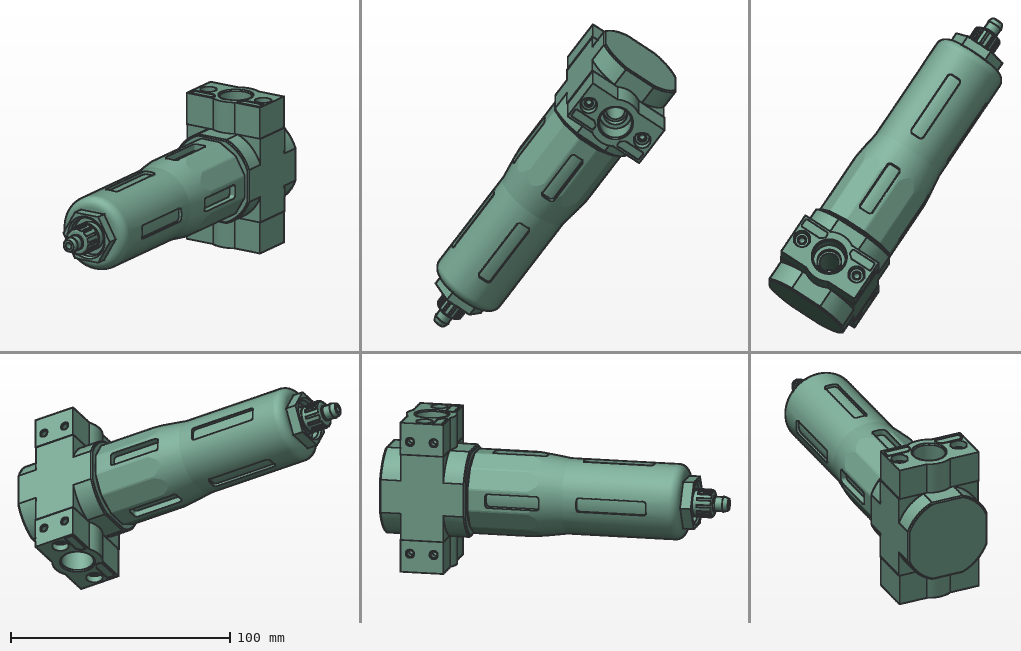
import cadquery as cq
import math


TOTAL_LENGTH = 159.0
TOTAL_HEIGHT = 70.0

HOUSING_SIZE = 40.0
HOUSING_HALF = HOUSING_SIZE / 2
HOUSING_BACK_Y = 19.9
HOUSING_FRONT_Y = -20.0
HOUSING_ROUND_RADIUS = 21.5
HOUSING_CHAMFER = 0.6
PASSAGE_DIAMETER = 8.7
SPIGOT_RADIUS = 17.2
GUARD_TOP_Y = -21.1

PLATE_HEIGHT = (TOTAL_HEIGHT - HOUSING_SIZE) / 2
PLATE_DEPTH = HOUSING_SIZE / 2
PLATE_SHIFT = -0.3
BOSS_RADIUS = 11.6
PORT_DIAMETER = 15.0
PORT_DEPTH = 11.1
PORT_CHAMFER = 0.6
PORT_STEP_DIAMETER = 11.0

LABEL_DEPTH = 0.3
LABEL_FRONT_Y = -8.9
LABEL_BACK_Y = -4.8
LABEL_OUTER_X = 19.0
LABEL_INNER_X = 6.7
LABEL_SLANT_X = 2.0
LABEL_SLANT_Y = 1.6
LABEL_CORNER_RADIUS = 0.6

PIN_HOLE_DIAMETER = 3.0
PIN_HOLE_DEPTH = 4.8
PIN_HOLE_CHAMFER = 0.5
PIN_HOLE_Y = 5.5
PIN_HOLE_Z = 26.2

SCREW_X = 15.0
SCREW_RECESS_DIAMETER = 7.6
SCREW_HEAD_DIAMETER = 6.5
SCREW_HEAD_HEIGHT = 4.0
SCREW_SINK = 2.9
SOCKET_DIAMETER = 3.0
SOCKET_CHAMFER = 0.5
SOCKET_DEPTH = 1.6
DRILL_POINT_RATIO = 0.6

GRIP_RADIUS = 38.8 / 2
GRIP_FLAT_COUNT = 12
GRIP_FLAT_APOTHEM = 37.7 / 2
GRIP_END_Y = -49.1
TAPER_END_Y = -64.7
TAPER_BULGE = 0.06
GUARD_RADIUS = 34.7 / 2
GUARD_FILLET = 4.3
GUARD_BOTTOM_Y = -119.2
GUARD_END_WALL = 3.2
WINDOW_WIDTH = 6.5
WINDOW_CORNER_RADIUS = 1.5
UPPER_WINDOW = (-54.4, -29.3)
LOWER_WINDOW = (-104.3, -71.5)

BOWL_RADIUS = 15.9
HEX_ACROSS_FLATS = 22.0
HEX_BOTTOM_Y = -124.2
HEX_RECESS_RADIUS = 9.0
HEX_RECESS_DEPTH = 4.0
HEX_RECESS_CHAMFER = 1.0

SHOULDER_RADIUS = 6.5
SHOULDER_BOTTOM_Y = -123.4
NECK_RADIUS = 11.8 / 2
KNOB_TOP_Y = -125.5
KNOB_BOTTOM_Y = -132.3
KNOB_RADIUS = 6.5
KNOB_FILLET = 1.7
TOOTH_COUNT = 12
TOOTH_WIDTH = 1.1
COLLAR_RADIUS = 7.2 / 2
COLLAR_BOTTOM_Y = -133.1
NOZZLE_RADIUS = 6.7 / 2
BARB_TOP_Y = -136.7
TIP_RADIUS = 2.7
TIP_CHAMFER = 0.6
TIP_Y = HOUSING_BACK_Y - TOTAL_LENGTH
NOZZLE_BORE_DIAMETER = 3.0
NOZZLE_BORE_DEPTH = 4.8


def y_rod(radius, y_start, y_end):
    """Round rod on the bowl axis."""
    return cq.Workplane("XZ", origin=(0, y_start, 0)).circle(radius).extrude(y_start - y_end)


def y_prism(side_count, apothem, y_start, y_end, turn):
    """Regular prism on the bowl axis, turned by the given angle in degrees."""
    corner_diameter = 2 * apothem / math.cos(math.pi / side_count)
    prism = cq.Workplane("XZ", origin=(0, y_start, 0)).polygon(side_count, corner_diameter)
    return prism.extrude(y_start - y_end).rotate((0, 0, 0), (0, 1, 0), turn)


def revolve_about_y(profile):
    """Solid of revolution from an XY outline that starts and ends on the bowl axis."""
    return profile.close().revolve(360, (0, 0, 0), (0, 1, 0))


def drill(plane, radius, depth):
    """Round hole with a pointed bottom, going inwards from the plane."""
    outline = [(0, 0), (radius, 0), (radius, -depth), (0, -depth - DRILL_POINT_RATIO * radius)]
    hole = cq.Workplane("XZ").polyline(outline).close().revolve(360, (0, 0, 0), (0, 1, 0))
    return cq.Workplane(hole.val().moved(cq.Location(plane)))


def chamfer_cone(plane, radius, size):
    """Cutter that bevels the mouth of a round hole at the plane."""
    cone = cq.Solid.makeCone(radius + size, radius, size, cq.Vector(0, 0, 0), cq.Vector(0, 0, -1))
    return cq.Workplane(cone.moved(cq.Location(plane)))


def make_housing():
    """Cross-shaped block, square in the middle and rounded at both ends, with a spigot."""
    length = HOUSING_BACK_Y - HOUSING_FRONT_Y
    front_face = cq.Workplane("XZ", origin=(0, HOUSING_FRONT_Y, 0))
    block = front_face.rect(HOUSING_SIZE, HOUSING_SIZE).extrude(-length)
    ends = block.intersect(y_rod(HOUSING_ROUND_RADIUS, HOUSING_BACK_Y, HOUSING_FRONT_Y))
    ends = ends.faces("<Y or >Y").chamfer(HOUSING_CHAMFER)
    middle = cq.Workplane("XY").box(HOUSING_SIZE, PLATE_DEPTH, HOUSING_SIZE)
    spigot = y_rod(SPIGOT_RADIUS, HOUSING_FRONT_Y, GUARD_TOP_Y)
    passage = cq.Workplane("XY").circle(PASSAGE_DIAMETER / 2).extrude(HOUSING_HALF, both=True)
    return ends.union(middle).union(spigot).cut(passage)


def label_recess(side):
    """Shallow label field beside the port, slanted next to the port rim."""
    inner = side * LABEL_INNER_X
    outer = side * LABEL_OUTER_X
    outline = [
        (outer, LABEL_FRONT_Y),
        (inner, LABEL_FRONT_Y),
        (inner, LABEL_BACK_Y - LABEL_SLANT_Y),
        (inner + side * LABEL_SLANT_X, LABEL_BACK_Y),
        (outer, LABEL_BACK_Y),
    ]
    field = cq.Workplane("XY", origin=(PLATE_SHIFT, 0, TOTAL_HEIGHT / 2)).polyline(outline).close()
    return field.extrude(-LABEL_DEPTH).edges("|Z").fillet(LABEL_CORNER_RADIUS)


def make_top_plate():
    """Connecting plate on top of the housing with port, screw recesses, labels and pin holes."""
    base = cq.Workplane("XY", origin=(0, 0, HOUSING_HALF))
    plate = base.center(PLATE_SHIFT, 0).rect(HOUSING_SIZE, PLATE_DEPTH).extrude(PLATE_HEIGHT)
    plate = plate.union(base.circle(BOSS_RADIUS).extrude(PLATE_HEIGHT))

    outer_face = cq.Workplane("XY", origin=(0, 0, TOTAL_HEIGHT / 2))
    plate = plate.cut(base.circle(PORT_STEP_DIAMETER / 2).extrude(PLATE_HEIGHT))
    port = outer_face.circle(PORT_DIAMETER / 2).extrude(-PORT_DEPTH)
    port_mouth = cq.Plane((0, 0, TOTAL_HEIGHT / 2))
    port_rim = chamfer_cone(port_mouth, PORT_DIAMETER / 2, PORT_CHAMFER)
    plate = plate.cut(port).cut(port_rim)

    recesses = outer_face.pushPoints([(-SCREW_X, 0), (SCREW_X, 0)]).circle(SCREW_RECESS_DIAMETER / 2)
    plate = plate.cut(recesses.extrude(-SCREW_SINK - SCREW_HEAD_HEIGHT))

    for side in (-1, 1):
        plate = plate.cut(label_recess(side))

    for y in (-PIN_HOLE_Y, PIN_HOLE_Y):
        mouth = cq.Plane((PLATE_SHIFT - HOUSING_HALF, y, PIN_HOLE_Z), xDir=(0, 1, 0), normal=(-1, 0, 0))
        radius = PIN_HOLE_DIAMETER / 2
        plate = plate.cut(drill(mouth, radius, PIN_HOLE_DEPTH))
        plate = plate.cut(chamfer_cone(mouth, radius, PIN_HOLE_CHAMFER))
    return plate


def make_top_screw(x):
    """Screw head seated in the top plate, with a drilled drive socket."""
    head_top = TOTAL_HEIGHT / 2 - SCREW_SINK
    head = cq.Workplane("XY", origin=(x, 0, head_top)).circle(SCREW_HEAD_DIAMETER / 2)
    mouth = cq.Plane((x, 0, head_top))
    socket = drill(mouth, SOCKET_DIAMETER / 2, SOCKET_DEPTH)
    socket_rim = chamfer_cone(mouth, SOCKET_DIAMETER / 2, SOCKET_CHAMFER)
    return head.extrude(-SCREW_HEAD_HEIGHT).cut(socket).cut(socket_rim)


def windows(y_range):
    """Four round-cornered window cutters around the bowl axis."""
    length = y_range[1] - y_range[0]
    middle = sum(y_range) / 2
    slab = cq.Workplane("XY", origin=(0, middle, 0)).rect(WINDOW_WIDTH, length)
    slab = slab.extrude(GRIP_RADIUS, both=True).edges("|Z").fillet(WINDOW_CORNER_RADIUS)
    return slab.union(slab.rotate((0, 0, 0), (0, 1, 0), 90))


def make_bowl():
    """Round bowl inside the guard, ending in a recessed hexagon."""
    shoulder_y = GUARD_BOTTOM_Y + GUARD_END_WALL
    bowl = y_rod(BOWL_RADIUS, GUARD_TOP_Y, shoulder_y)
    bowl = bowl.union(y_prism(6, HEX_ACROSS_FLATS / 2, shoulder_y, HEX_BOTTOM_Y, 0))
    floor_y = HEX_BOTTOM_Y + HEX_RECESS_DEPTH
    recess = (
        cq.Workplane("XY")
        .moveTo(0, floor_y)
        .lineTo(HEX_RECESS_RADIUS, floor_y)
        .lineTo(HEX_RECESS_RADIUS, HEX_BOTTOM_Y + HEX_RECESS_CHAMFER)
        .lineTo(HEX_RECESS_RADIUS + HEX_RECESS_CHAMFER, HEX_BOTTOM_Y)
        .lineTo(0, HEX_BOTTOM_Y)
    )
    return bowl.cut(revolve_about_y(recess))


def make_guard(bowl):
    """Guard with a faceted grip, a taper, a rounded bottom and windows, fitted over the bowl."""
    taper_middle = ((GRIP_RADIUS + GUARD_RADIUS) / 2 + TAPER_BULGE, (GRIP_END_Y + TAPER_END_Y) / 2)
    fillet_middle = (
        GUARD_RADIUS - GUARD_FILLET * (1 - math.sqrt(0.5)),
        GUARD_BOTTOM_Y + GUARD_FILLET * (1 - math.sqrt(0.5)),
    )
    profile = (
        cq.Workplane("XY")
        .moveTo(0, GUARD_TOP_Y)
        .lineTo(GRIP_RADIUS, GUARD_TOP_Y)
        .lineTo(GRIP_RADIUS, GRIP_END_Y)
        .threePointArc(taper_middle, (GUARD_RADIUS, TAPER_END_Y))
        .lineTo(GUARD_RADIUS, GUARD_BOTTOM_Y + GUARD_FILLET)
        .threePointArc(fillet_middle, (GUARD_RADIUS - GUARD_FILLET, GUARD_BOTTOM_Y))
        .lineTo(0, GUARD_BOTTOM_Y)
    )
    half_turn = 180 / GRIP_FLAT_COUNT
    grip_flats = y_prism(GRIP_FLAT_COUNT, GRIP_FLAT_APOTHEM, GUARD_TOP_Y, GUARD_BOTTOM_Y, half_turn)
    guard = revolve_about_y(profile).intersect(grip_flats)
    guard = guard.cut(windows(UPPER_WINDOW)).cut(windows(LOWER_WINDOW))
    inside = y_rod(BOWL_RADIUS, GUARD_TOP_Y, GUARD_BOTTOM_Y + GUARD_END_WALL)
    return guard.cut(inside).cut(bowl)


def make_drain_valve():
    """Toothed drain knob with a neck into the bowl and a barbed nozzle."""
    top_y = HEX_BOTTOM_Y + HEX_RECESS_DEPTH
    valve = y_rod(SHOULDER_RADIUS, top_y, SHOULDER_BOTTOM_Y)
    valve = valve.union(y_rod(NECK_RADIUS, top_y, KNOB_BOTTOM_Y))
    for index in range(TOOTH_COUNT):
        tooth = cq.Workplane("XY").box(
            KNOB_RADIUS, KNOB_TOP_Y - KNOB_BOTTOM_Y, TOOTH_WIDTH, centered=(False, False, True)
        )
        tooth = tooth.translate((0, KNOB_BOTTOM_Y, 0))
        valve = valve.union(tooth.rotate((0, 0, 0), (0, 1, 0), index * 360 / TOOTH_COUNT))
    envelope = y_rod(KNOB_RADIUS, GUARD_BOTTOM_Y, KNOB_BOTTOM_Y).faces("<Y").edges().fillet(KNOB_FILLET)
    valve = valve.intersect(envelope)

    nozzle = (
        cq.Workplane("XY")
        .moveTo(0, KNOB_TOP_Y)
        .lineTo(COLLAR_RADIUS, KNOB_TOP_Y)
        .lineTo(COLLAR_RADIUS, COLLAR_BOTTOM_Y)
        .lineTo(NOZZLE_RADIUS, COLLAR_BOTTOM_Y)
        .lineTo(NOZZLE_RADIUS, BARB_TOP_Y)
        .lineTo(COLLAR_RADIUS, BARB_TOP_Y)
        .lineTo(TIP_RADIUS + TIP_CHAMFER / 2, TIP_Y + TIP_CHAMFER)
        .lineTo(TIP_RADIUS, TIP_Y)
        .lineTo(0, TIP_Y)
    )
    bore = y_rod(NOZZLE_BORE_DIAMETER / 2, TIP_Y + NOZZLE_BORE_DEPTH, TIP_Y)
    return valve.union(revolve_about_y(nozzle)).cut(bore)


def mirrored_below(body):
    """Copy of a body mirrored to the lower side of the housing."""
    return body.mirror("XY")


housing = make_housing()
bowl = make_bowl()
guard = make_guard(bowl)
drain_valve = make_drain_valve()
top_plate = make_top_plate()
plates = [top_plate, mirrored_below(top_plate)]
screws = []
for screw_x in (-SCREW_X, SCREW_X):
    top_screw = make_top_screw(screw_x)
    screws += [top_screw, mirrored_below(top_screw)]

bodies = [housing, *plates, *screws, guard, bowl, drain_valve]
result = cq.Compound.makeCompound([body.val() for body in bodies])